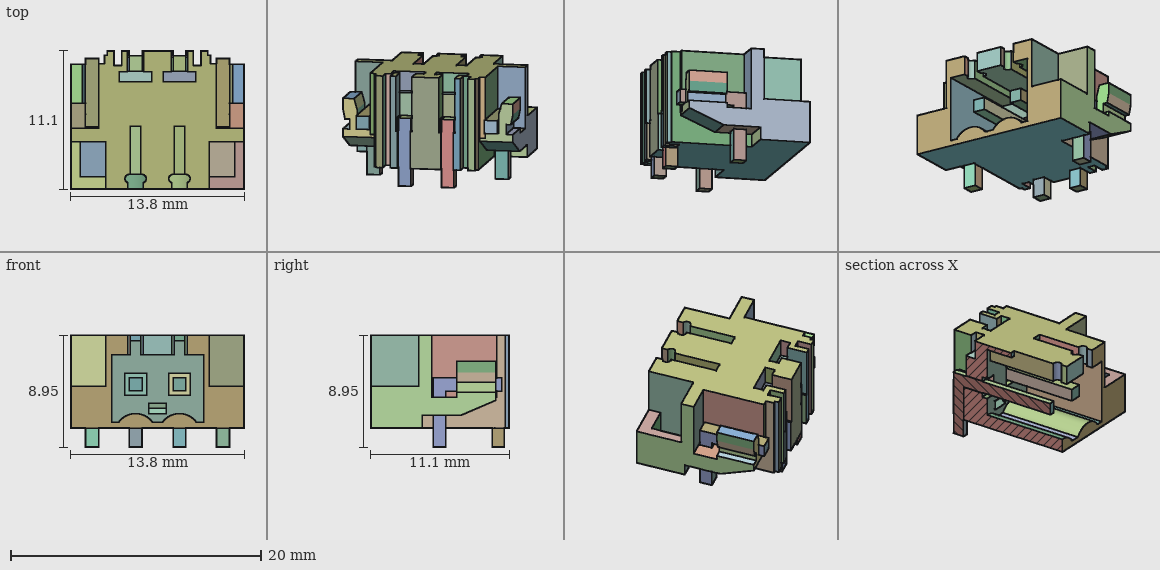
import cadquery as cq


width = 13.85
depth = 11.05
height = 7.44
front_body_width = 8.25
rear_body_width = 9.39
shoulder_y = 10.04
step_y = 10.72
shoulder_width = 8.48
step_width = 8.06

wing_front_y = 3.81
wing_back_y = 4.88
box_height = 3.35
box_wall_x = 0.76
box_wall_y = 1.01
box_floor_z = 1.38

arm_bottom_z = 1.01
arm_front_y = 4.11
arm_slope_y = 7.16
arm_tip_z = 2.23
arm_ledge_z = 2.48
clip_front_y = 6.85
clip_back_y = 10.0
clip_top_z = 5.33
clip_bend_z = 4.46
clip_top_thickness = 0.91
hook_bottom_z = 3.65
hook_taper = 0.17
groove_depth = 0.55
groove_floor_z = 2.85

cavity_width = 7.35
cavity_floor_z = 0.46
roof_thickness = 1.58
cavity_depth = 7.34
hump_width = 2.74
hump_height = 0.7
recess_size = 1.75
recess_depth = 0.5
latch_width = 1.38
latch_bottom_z = 1.16
latch_height = 0.82
latch_depth = 0.42

keyway_width = 0.82
keyway_length = 5.01
keyway_skin = 0.46
mouth_width = 1.22
bulb_width = 1.7
bulb_diameter = 0.68
bulb_y = 0.85

tee_width = 2.62
tee_front_y = 8.57
tee_back_y = 9.39
notch_width = 1.32
notch_front_y = 9.45
notch_step_y = 10.54
relief_inner_x = 2.87
relief_outer_x = 3.46
relief_front_y = 9.9

pin_pitch = 3.5
pin_size = 1.02
pin_axis_z = 3.5
pin_tip_y = 1.19
leg_front_y = 9.7
leg_back_y = 10.68
leg_drop = 1.51

anchor_width = 1.07
anchor_bottom_z = 2.95
anchor_top_z = 4.02
anchor_front_y = 4.97
anchor_back_y = 10.45
anchor_leg_depth = 1.02

half_width = width / 2
body_side_x = rear_body_width / 2
cavity_roof_z = height - roof_thickness
pin_bottom_z = pin_axis_z - pin_size / 2
pin_top_z = pin_axis_z + pin_size / 2
anchor_outer_x = body_side_x + anchor_width
pin_places = [-pin_pitch / 2, pin_pitch / 2]


def block(x_range, y_range, z_range):
    """Box between two places along each axis."""
    (x0, x1), (y0, y1), (z0, z1) = x_range, y_range, z_range
    return cq.Workplane("XY").box(x1 - x0, y1 - y0, z1 - z0, centered=False).translate((x0, y0, z0))


def centred_block(middle_x, size_x, y_range, z_range):
    """Box centred on a place along X."""
    return block((middle_x - size_x / 2, middle_x + size_x / 2), y_range, z_range)


def both_sides(shape):
    """A left-hand shape together with its mirror image on the right."""
    return shape.union(shape.mirror("YZ"))


def make_core():
    full = (0, height)
    core = centred_block(0, front_body_width, (0, wing_front_y), full)
    core = core.union(centred_block(0, width, (wing_front_y, wing_back_y), (arm_bottom_z, height)))
    core = core.union(centred_block(0, rear_body_width, (wing_front_y, shoulder_y), (arm_ledge_z, height)))
    core = core.union(centred_block(0, shoulder_width, (wing_front_y, step_y), full))
    return core.union(centred_block(0, step_width, (step_y, depth), full))


def make_left_box():
    """Open-topped box in front of the left wing."""
    inner_x = -front_body_width / 2
    box = block((-half_width, inner_x), (0, arm_front_y), (0, box_height))
    pocket = block(
        (-half_width + box_wall_x, inner_x), (box_wall_y, wing_front_y), (box_floor_z, box_height)
    )
    return box.cut(pocket)


def make_left_arm():
    """Arm beside the rear body, carrying an upright clip with a hooked outer side."""
    arm = (
        cq.Workplane("YZ")
        .moveTo(wing_back_y, arm_bottom_z)
        .lineTo(arm_slope_y, arm_bottom_z)
        .lineTo(clip_back_y, arm_tip_z)
        .lineTo(clip_back_y, arm_ledge_z)
        .lineTo(wing_back_y, arm_ledge_z)
        .close()
        .extrude(half_width - shoulder_width / 2)
        .translate((-half_width, 0, 0))
    )
    clip = (
        cq.Workplane("XZ")
        .moveTo(-half_width, arm_ledge_z)
        .lineTo(-half_width, groove_floor_z)
        .lineTo(-half_width + groove_depth, groove_floor_z)
        .lineTo(-half_width + groove_depth, hook_bottom_z)
        .lineTo(-half_width + hook_taper, hook_bottom_z)
        .lineTo(-half_width, clip_bend_z)
        .lineTo(-half_width, clip_top_z)
        .lineTo(-half_width + clip_top_thickness, clip_top_z)
        .lineTo(-anchor_outer_x, clip_bend_z)
        .lineTo(-anchor_outer_x, anchor_bottom_z)
        .lineTo(-body_side_x, anchor_bottom_z)
        .lineTo(-body_side_x, arm_ledge_z)
        .close()
        .extrude(clip_front_y - clip_back_y)
        .translate((0, clip_front_y, 0))
    )
    return arm.union(clip)


def make_hump(middle_x):
    """Floor ridge with an arched top, running the length of the cavity."""
    return (
        cq.Workplane("XZ")
        .moveTo(middle_x - hump_width / 2, cavity_floor_z)
        .threePointArc(
            (middle_x, cavity_floor_z + hump_height),
            (middle_x + hump_width / 2, cavity_floor_z),
        )
        .close()
        .extrude(-cavity_depth)
    )


def make_latch_recess():
    """Recess in the cavity's back wall; the lower half of it has a sloping floor."""
    middle_z = latch_bottom_z + latch_height / 2
    return (
        cq.Workplane("YZ")
        .moveTo(cavity_depth, latch_bottom_z)
        .lineTo(cavity_depth + latch_depth, middle_z)
        .lineTo(cavity_depth + latch_depth, latch_bottom_z + latch_height)
        .lineTo(cavity_depth, latch_bottom_z + latch_height)
        .close()
        .extrude(latch_width / 2, both=True)
    )


def make_cavity():
    cavity = centred_block(0, cavity_width, (0, cavity_depth), (cavity_floor_z, cavity_roof_z))
    for x in pin_places:
        recess = centred_block(
            x,
            recess_size,
            (cavity_depth, cavity_depth + recess_depth),
            (pin_axis_z - recess_size / 2, pin_axis_z + recess_size / 2),
        )
        cavity = cavity.cut(make_hump(x)).union(recess)
    return cavity.union(make_latch_recess())


def make_keyway(middle_x):
    """Roof slot with a round-ended bulb near its mouth; it runs on to the back wall under a skin."""
    roof = (cavity_roof_z, height)
    slot = centred_block(middle_x, keyway_width, (0, keyway_length), roof)
    tunnel = centred_block(
        middle_x, keyway_width, (0, cavity_depth), (cavity_roof_z, height - keyway_skin)
    )
    mouth = centred_block(middle_x, mouth_width, (0, bulb_y), roof)
    bulb = (
        cq.Workplane("XY", origin=(middle_x, bulb_y, cavity_roof_z))
        .slot2D(bulb_width, bulb_diameter)
        .extrude(roof_thickness)
    )
    return slot.union(tunnel).union(mouth).union(bulb)


def make_rear_opening(middle_x):
    """T-shaped opening in the top, stepped notch behind the pin and the passage that holds the pin."""
    tee = centred_block(middle_x, tee_width, (tee_front_y, tee_back_y), (cavity_roof_z, height))
    stem = centred_block(middle_x, notch_width, (tee_back_y, depth), (cavity_roof_z, height))
    notch = centred_block(middle_x, notch_width, (notch_front_y, depth), (pin_top_z, cavity_roof_z))
    notch_step = centred_block(middle_x, notch_width, (notch_step_y, depth), (pin_bottom_z, pin_top_z))
    bar_hole = centred_block(middle_x, pin_size, (cavity_depth, depth), (pin_bottom_z, pin_top_z))
    leg_slot = centred_block(middle_x, pin_size, (leg_front_y, depth), (0, pin_bottom_z))
    opening = tee
    for part in (stem, notch, notch_step, bar_hole, leg_slot):
        opening = opening.union(part)
    return opening


def make_left_relief():
    """Narrow slot through the full height of the rear edge."""
    return block((-relief_outer_x, -relief_inner_x), (relief_front_y, depth), (0, height))


def make_left_anchor():
    """Solder anchor lying along the body side, with a leg at its front end."""
    side = (-anchor_outer_x, -body_side_x)
    leg_back = anchor_front_y + anchor_leg_depth
    bar = block(side, (anchor_front_y, anchor_back_y), (anchor_bottom_z, anchor_top_z))
    leg = block(side, (anchor_front_y, leg_back), (-leg_drop, anchor_bottom_z))
    return bar.union(leg)


def make_pin(middle_x):
    """L-shaped contact: a square bar into the cavity and a leg down at the rear."""
    bar = centred_block(middle_x, pin_size, (pin_tip_y, leg_back_y), (pin_bottom_z, pin_top_z))
    leg = centred_block(middle_x, pin_size, (leg_front_y, leg_back_y), (-leg_drop, pin_bottom_z))
    return bar.union(leg)


def make_housing(anchor_shapes):
    housing = make_core()
    housing = housing.union(both_sides(make_left_box()))
    housing = housing.union(both_sides(make_left_arm()))
    housing = housing.cut(make_cavity())
    for x in pin_places:
        housing = housing.cut(make_keyway(x)).cut(make_rear_opening(x))
    housing = housing.cut(both_sides(make_left_relief()))
    for anchor in anchor_shapes:
        housing = housing.cut(anchor)
    return housing


left_anchor = make_left_anchor()
anchors = [left_anchor, left_anchor.mirror("YZ")]
pins = [make_pin(x) for x in pin_places]
housing = make_housing(anchors)

result = cq.Compound.makeCompound(
    [housing.val()] + [pin.val() for pin in pins] + [anchor.val() for anchor in anchors]
)